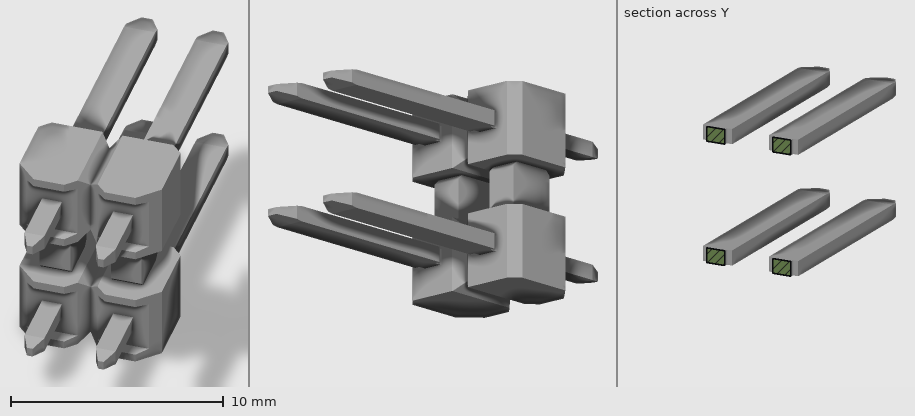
import cadquery as cq

overall_width = 7.0
overall_length = 18.75
overall_height = 9.6
block_width = overall_width / 2
block_height = 3.6
block_length = 4.5
row_gap = overall_height - 2 * block_height
row_pitch = block_height + row_gap

block_front = 3.05
block_back = block_front + block_length

front_chamfer = 1.0
back_chamfer = 0.5
side_groove_chamfer = 0.49
recess_depth = 0.5
recess_mouth_height = 2.8
recess_floor_height = 2.6

post_width = block_width - 2 * front_chamfer
post_length = 2.53
post_chamfer = 0.25
post_front = block_front + front_chamfer

pin_thickness = 0.75
front_pin_width = 0.98
rear_pin_width = 1.54
neck_width = 0.98
neck_length = 0.38
neck_fillet = 0.1
front_taper = 0.77
front_tip_width = 0.28
front_tip_thickness = 0.45
rear_side_taper = 0.88
rear_face_taper = 1.2
rear_tip_width = 0.55
rear_tip_thickness = 0.34


def mirrored_outline(right_side):
    """Close an outline from its right-hand points and their mirror images about the second axis."""
    left_side = [(-across, along) for across, along in reversed(right_side)]
    return right_side + left_side


def make_block(inner_side):
    """Block centred on X and Z; inner_side is the X direction of the neighbouring block."""
    half_width = block_width / 2
    half_height = block_height / 2
    outline = mirrored_outline([
        (half_width - front_chamfer, block_front),
        (half_width, block_front + front_chamfer),
        (half_width, block_back - back_chamfer),
        (half_width - back_chamfer, block_back),
    ])
    block = cq.Workplane("XY").polyline(outline).close().extrude(half_height, both=True)

    groove_start = half_width - side_groove_chamfer
    for vertical in (-1, 1):
        corner = [
            (inner_side * half_width, vertical * half_height),
            (inner_side * groove_start, vertical * half_height),
            (inner_side * half_width, vertical * (half_height - side_groove_chamfer)),
        ]
        cutter = cq.Workplane("XZ").polyline(corner).close().extrude(-overall_length)
        block = block.cut(cutter)

    recess_floor = block_front + recess_depth
    recess = (
        cq.Workplane("YZ")
        .moveTo(block_front, -recess_mouth_height / 2)
        .lineTo(recess_floor, -recess_floor_height / 2)
        .lineTo(recess_floor, recess_floor_height / 2)
        .lineTo(block_front, recess_mouth_height / 2)
        .close()
        .extrude(half_width, both=True)
    )
    return block.cut(recess)


def make_pin():
    """Pin along Y: the plan outline intersected with the side outline."""
    plan = mirrored_outline([
        (front_tip_width / 2, 0),
        (front_pin_width / 2, front_taper),
        (front_pin_width / 2, block_back - back_chamfer),
        (rear_pin_width / 2, block_back - back_chamfer),
        (rear_pin_width / 2, overall_length - rear_side_taper),
        (rear_tip_width / 2, overall_length),
    ])
    side = mirrored_outline([
        (front_tip_thickness / 2, 0),
        (pin_thickness / 2, front_taper),
        (pin_thickness / 2, overall_length - rear_face_taper),
        (rear_tip_thickness / 2, overall_length),
    ])
    plan_solid = cq.Workplane("XY").polyline(plan).close().extrude(pin_thickness / 2, both=True)
    side_points = [(along, across) for across, along in side]
    side_solid = cq.Workplane("YZ").polyline(side_points).close().extrude(rear_pin_width / 2, both=True)
    pin = plan_solid.intersect(side_solid)

    notch_depth = (rear_pin_width - neck_width) / 2
    for direction in (-1, 1):
        notch = (
            cq.Workplane("XY")
            .center(direction * (neck_width / 2 + notch_depth), block_back + neck_length / 2)
            .rect(2 * notch_depth, neck_length)
            .extrude(pin_thickness / 2, both=True)
            .edges("|Z")
            .fillet(neck_fillet)
        )
        pin = pin.cut(notch)
    return pin


def make_post():
    """Post filling the gap between rows, chamfered front and back where it meets the blocks."""
    return (
        cq.Workplane("XY")
        .box(post_width, post_length, row_gap)
        .edges("|X")
        .chamfer(post_chamfer)
        .translate((0, post_front + post_length / 2, 0))
    )


pin = make_pin()
post = make_post()
result = cq.Workplane("XY")
for column in (-1, 1):
    column_x = column * block_width / 2
    cell = make_block(-column).union(pin)
    result = result.union(post.translate((column_x, 0, 0)))
    for row in (-1, 1):
        result = result.union(cell.translate((column_x, 0, row * row_pitch / 2)))